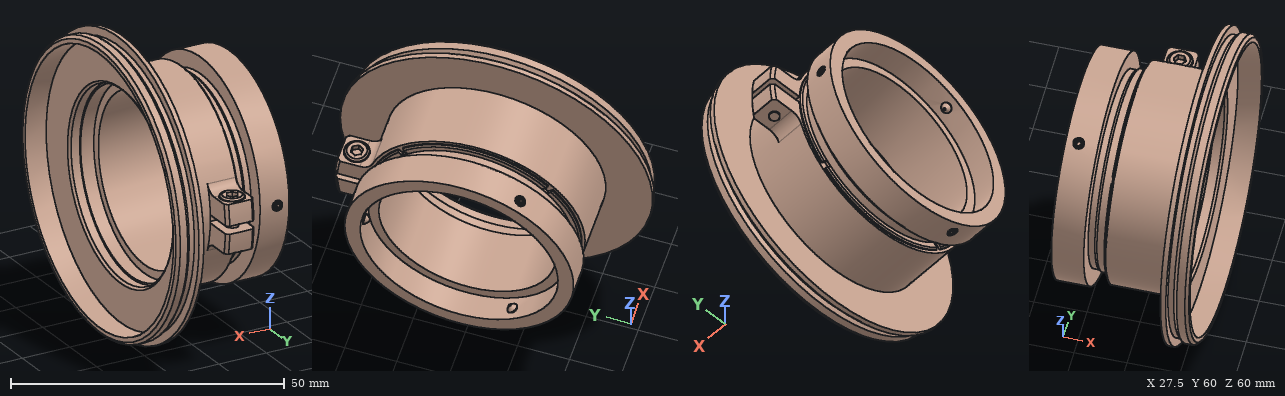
import cadquery as cq
import math

LENGTH = 27.5
COLLAR_END = 6.1
TAPER_START = 7.4
TAPER_END = 7.85
SLEEVE_START = 9.5
CLAMP_START = 10.0
CLAMP_WIDTH = 6.0
CLAMP_END = CLAMP_START + CLAMP_WIDTH
FLANGE_START = 22.5
FLANGE_END = 23.5
RIM_START = 24.6
RIM_FRONT_CHAMFER = 0.7
RIM_BACK_CHAMFER = 0.6

COLLAR_DIA = 44.0
NECK_DIA = 37.25
NECK_STEP_DIA = 38.0
SLEEVE_DIA = 40.7
SLEEVE_CHAMFER = 0.3
HUB_DIA = 42.0
FLANGE_DIA = 60.0
RELIEF_DIA = 56.6
RIM_DIA = 58.0

BORE_DIA = 34.0
SEAT_DIA = 38.0
SEAT_DEPTH = 5.0
BORE_END = 18.0
GUIDE_DIA = 37.5
GUIDE_END = 20.75
GROOVE_DIA = 38.2
RECESS_DIA = 55.0
RECESS_START = 23.05
RECESS_CHAMFER = 0.5

NOTCH_COUNT = 4
NOTCH_FIRST_ANGLE = 45
NOTCH_WIDTH = 1.3

SET_SCREW_COUNT = 3
SET_SCREW_X = 2.45
SET_SCREW_DIA = 2.05
SET_SCREW_TIP_DIA = 0.5
SET_SCREW_TIP_RADIUS = 17.95
SET_SCREW_CONE_RADIUS = 18.8
SET_SCREW_END_DIA = 1.55
SET_SCREW_GAP_DEPTH = 0.25
SET_SCREW_HEX_DIA = 1.1
SET_SCREW_HEX_DEPTH = 0.9

LUG_RADIUS = 27.1
LUG_HALF_HEIGHT = 5.0
LUG_CHAMFER = 0.6
LUG_FILLET = 2.5
SLIT_WIDTH = 1.6

SCREW_X = CLAMP_START + CLAMP_WIDTH / 2
SCREW_Y = 23.75
SCREW_DIA = 2.5
SCREW_TIP_DIA = 2.05
CLEARANCE_DIA = 2.7
HEAD_DIA = 4.5
HEAD_HEIGHT = 2.5
HEAD_CHAMFER = 0.35
HEAD_RECESS_DIA = 4.8
HEAD_TOP = 5.4
HEAD_SEAT = HEAD_TOP - HEAD_HEIGHT
SCREW_BOTTOM = -5.3
HEX_DIA = 2.35
HEX_DEPTH = 1.2


def turned(points):
    """Revolve a closed outline of (x, radius) points about the X axis."""
    return cq.Workplane("XY").polyline(points).close().revolve(360, (0, 0, 0), (1, 0, 0))


def cylinder(diameter, bottom, top):
    """Upright cylinder on the axis of the cap screw."""
    return (
        cq.Workplane("XY", origin=(SCREW_X, SCREW_Y, bottom))
        .circle(diameter / 2)
        .extrude(top - bottom)
    )


def adapter_body():
    """Collar, neck, sleeve, hub, flange and rim around one stepped bore."""
    outer = [
        (0, COLLAR_DIA / 2),
        (COLLAR_END, COLLAR_DIA / 2),
        (COLLAR_END, NECK_DIA / 2),
        (TAPER_START, NECK_DIA / 2),
        (TAPER_END, NECK_STEP_DIA / 2),
        (SLEEVE_START, NECK_STEP_DIA / 2),
        (SLEEVE_START, SLEEVE_DIA / 2 - SLEEVE_CHAMFER),
        (SLEEVE_START + SLEEVE_CHAMFER, SLEEVE_DIA / 2),
        (CLAMP_START, SLEEVE_DIA / 2),
        (CLAMP_START, HUB_DIA / 2),
        (FLANGE_START, HUB_DIA / 2),
        (FLANGE_START, FLANGE_DIA / 2),
        (FLANGE_END, FLANGE_DIA / 2),
        (FLANGE_END, RELIEF_DIA / 2),
        (RIM_START, RELIEF_DIA / 2),
        (RIM_START + RIM_FRONT_CHAMFER, RIM_DIA / 2),
        (LENGTH - RIM_BACK_CHAMFER, RIM_DIA / 2),
        (LENGTH, RIM_DIA / 2 - RIM_BACK_CHAMFER),
    ]
    bore = [
        (LENGTH, RECESS_DIA / 2),
        (RECESS_START, RECESS_DIA / 2),
        (RECESS_START, GROOVE_DIA / 2 + RECESS_CHAMFER),
        (RECESS_START - RECESS_CHAMFER, GROOVE_DIA / 2),
        (GUIDE_END, GROOVE_DIA / 2),
        (GUIDE_END, GUIDE_DIA / 2),
        (BORE_END, GUIDE_DIA / 2),
        (BORE_END, BORE_DIA / 2),
        (SEAT_DEPTH, BORE_DIA / 2),
        (SEAT_DEPTH, SEAT_DIA / 2),
        (0, SEAT_DIA / 2),
    ]
    return turned(outer + bore)


def sleeve_notch():
    """Notch on the +Y side, from the neck out through the edge of the sleeve."""
    return cq.Workplane("XY").box(
        CLAMP_START - SLEEVE_START,
        (SLEEVE_DIA - NECK_STEP_DIA) / 2,
        NOTCH_WIDTH,
        centered=(False, False, True),
    ).translate((SLEEVE_START, NECK_STEP_DIA / 2, 0))


def set_screw_tip():
    """Conical tip standing into the seat from the +Y side."""
    half_base = SET_SCREW_DIA / 2
    embedded_end = (SEAT_DIA + COLLAR_DIA) / 4
    return (
        cq.Workplane("XY", origin=(SET_SCREW_X, 0, 0))
        .polyline([
            (0, SET_SCREW_TIP_RADIUS),
            (SET_SCREW_TIP_DIA / 2, SET_SCREW_TIP_RADIUS),
            (half_base, SET_SCREW_CONE_RADIUS),
            (half_base, embedded_end),
            (0, embedded_end),
        ])
        .close()
        .revolve(360, (0, 0, 0), (0, 1, 0))
    )


def set_screw_socket():
    """Ring gap and hexagonal socket around the screw end on the +Y side of the collar."""
    end_face = cq.Workplane("XZ", origin=(SET_SCREW_X, COLLAR_DIA / 2, 0))
    hexagon = end_face.polygon(6, SET_SCREW_HEX_DIA).extrude(SET_SCREW_HEX_DEPTH)
    gap = (
        end_face.circle(SET_SCREW_DIA / 2)
        .circle(SET_SCREW_END_DIA / 2)
        .extrude(SET_SCREW_GAP_DEPTH)
    )
    return hexagon.union(gap)


def clamp_lug():
    """Chamfered sector of a ring, blended into the hub above and below."""
    hub_radius = HUB_DIA / 2
    shoulder = LUG_RADIUS - LUG_CHAMFER
    ring = turned([
        (CLAMP_START, SLEEVE_DIA / 2),
        (CLAMP_START, shoulder),
        (CLAMP_START + LUG_CHAMFER, LUG_RADIUS),
        (CLAMP_END - LUG_CHAMFER, LUG_RADIUS),
        (CLAMP_END, shoulder),
        (CLAMP_END, SLEEVE_DIA / 2),
    ])

    centre_z = LUG_HALF_HEIGHT + LUG_FILLET
    centre_y = math.sqrt((hub_radius + LUG_FILLET) ** 2 - centre_z ** 2)
    centre_angle = math.atan2(centre_z, centre_y)
    touch_y = hub_radius * math.cos(centre_angle)
    touch_z = hub_radius * math.sin(centre_angle)
    middle_angle = (centre_angle + math.pi / 2) / 2
    middle_y = centre_y - LUG_FILLET * math.cos(middle_angle)
    middle_z = centre_z - LUG_FILLET * math.sin(middle_angle)
    inner_y = SLEEVE_DIA / 2 - LUG_FILLET

    outline = (
        cq.Workplane("YZ", origin=(CLAMP_START, 0, 0))
        .moveTo(inner_y, touch_z)
        .lineTo(touch_y, touch_z)
        .threePointArc((middle_y, middle_z), (centre_y, LUG_HALF_HEIGHT))
        .lineTo(LUG_RADIUS, LUG_HALF_HEIGHT)
        .lineTo(LUG_RADIUS, -LUG_HALF_HEIGHT)
        .lineTo(centre_y, -LUG_HALF_HEIGHT)
        .threePointArc((middle_y, -middle_z), (touch_y, -touch_z))
        .lineTo(inner_y, -touch_z)
        .close()
        .extrude(CLAMP_WIDTH)
    )
    return ring.intersect(outline)


def clamp_slit():
    """Slot through the lug and the clamp ring, down to the sleeve."""
    slot = cq.Workplane("XY").box(
        CLAMP_WIDTH, LUG_RADIUS, SLIT_WIDTH, centered=(False, False, True)
    ).translate((CLAMP_START, 0, 0))
    sleeve = cq.Workplane("YZ").circle(SLEEVE_DIA / 2).extrude(LENGTH)
    return slot.cut(sleeve)


def cap_screw():
    """Socket head screw resting on the recess floor, with a narrow tip below the lug."""
    tip = cylinder(SCREW_TIP_DIA, SCREW_BOTTOM, -LUG_HALF_HEIGHT)
    shank = cylinder(SCREW_DIA, -LUG_HALF_HEIGHT, HEAD_SEAT)
    head = cylinder(HEAD_DIA, HEAD_SEAT, HEAD_TOP).faces(">Z").chamfer(HEAD_CHAMFER)
    socket = (
        cq.Workplane("XY", origin=(SCREW_X, SCREW_Y, HEAD_TOP - HEX_DEPTH))
        .polygon(6, HEX_DIA)
        .extrude(HEX_DEPTH)
    )
    return tip.union(shank).union(head).cut(socket)


result = adapter_body()

for index in range(NOTCH_COUNT):
    turn = NOTCH_FIRST_ANGLE + index * 360 / NOTCH_COUNT
    result = result.cut(sleeve_notch().rotate((0, 0, 0), (1, 0, 0), turn))

for index in range(SET_SCREW_COUNT):
    turn = index * 360 / SET_SCREW_COUNT
    result = result.union(set_screw_tip().rotate((0, 0, 0), (1, 0, 0), turn))
    result = result.cut(set_screw_socket().rotate((0, 0, 0), (1, 0, 0), turn))

result = result.union(clamp_lug()).cut(clamp_slit())
result = result.cut(cylinder(HEAD_RECESS_DIA, HEAD_SEAT, LUG_HALF_HEIGHT + LUG_FILLET))
result = result.cut(cylinder(CLEARANCE_DIA, 0, HEAD_SEAT))
result = result.union(cap_screw())